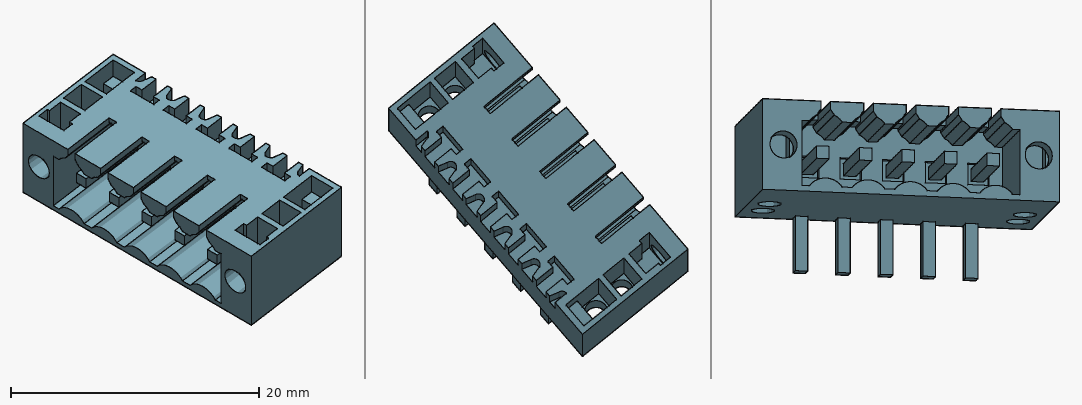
import cadquery as cq


length = 24.4
depth = 11.05
height = 7.47

contact_count = 5
contact_span = 14.0
pitch = contact_span / (contact_count - 1)
contact_xs = [(i - (contact_count - 1) / 2) * pitch for i in range(contact_count)]
contact_size = 1.02
contact_z = 3.51
contact_front_gap = 1.2
contact_rear_gap = 0.35
leg_length = 4.5

cavity_half_width = 8.95
cavity_floor = 0.46
cavity_ceiling = height - 1.65
cavity_depth = 7.08
arch_half_width = 1.35
arch_height = 0.68

slot_half_width = 0.4
slot_depth = 5.05
flare_top = height - 0.5
flare_shoulder = height - 0.65
flare_bottom = height - 1.1
flare_half_width = 0.68

recess_size = 1.75
recess_depth = 0.5

rear_slot_depth = 1.95
stem_width = 1.22
stem_length = 1.73
bar_width = 2.5
bar_length = 0.68
notch_half_mouth = 0.68
notch_half_root = 0.46
notch_root_start = 0.78
notch_length = 1.2
notch_count = contact_count + 1
notch_limit = contact_count * pitch / 2

screw_x = 10.5
screw_diameter = 1.85
pocket_inner_x = 9.47
pocket_outer_x = 11.74
pocket_depth = 5.12
rear_pocket_back = depth - 0.54
rear_pocket_step = depth - 1.73
rear_pocket_front = depth - 3.98
ledge_depth = 1.75
middle_pocket_back = depth - 4.45
middle_pocket_front = depth - 6.61
screw_ys = [depth - 2.85, depth - 5.55]

nut_back = depth - 7.15
nut_step = depth - 8.5
nut_front = depth - 9.55
nut_outer_x = 11.6
nut_head_inner_x = 9.15
nut_head_outer_x = 11.8
bolt_diameter = 2.22
bolt_z = 3.75


def box(x_range, y_range, z_range):
    """Axis-aligned box between two limits on each axis."""
    sizes = [high - low for low, high in (x_range, y_range, z_range)]
    corner = (x_range[0], y_range[0], z_range[0])
    return cq.Workplane("XY").box(*sizes, centered=False).translate(corner)


def mirrored_pair(shape):
    """The shape and its mirror image at the other end of the housing."""
    return shape.union(shape.mirror("YZ"))


def extrude_back(front_outline, distance):
    """Extrude an outline drawn on the front face toward the rear."""
    return front_outline.close().extrude(-distance)


def arch(x, base_z):
    """Circular segment rising from base_z, running the length of the cavity."""
    outline = (
        cq.Workplane("XZ")
        .moveTo(x - arch_half_width, base_z)
        .threePointArc((x, base_z + arch_height), (x + arch_half_width, base_z))
    )
    return extrude_back(outline, cavity_depth)


def coding_flare(x):
    """Flared channel that joins a coding slot to the arched cavity ceiling."""
    outline = cq.Workplane("XZ").polyline([
        (x - slot_half_width, flare_top),
        (x + slot_half_width, flare_top),
        (x + slot_half_width, flare_shoulder),
        (x + flare_half_width, flare_bottom),
        (x + flare_half_width, cavity_ceiling),
        (x - flare_half_width, cavity_ceiling),
        (x - flare_half_width, flare_bottom),
        (x - slot_half_width, flare_shoulder),
    ])
    return extrude_back(outline, cavity_depth)


def plug_cavity():
    """Front opening with ribs on its floor and grooves and slots in its ceiling."""
    cavity = box(
        (-cavity_half_width, cavity_half_width), (0, cavity_depth), (cavity_floor, cavity_ceiling)
    )
    recess_half = recess_size / 2
    for x in contact_xs:
        coding_slot = box(
            (x - slot_half_width, x + slot_half_width), (0, slot_depth), (cavity_ceiling, height)
        )
        contact_recess = box(
            (x - recess_half, x + recess_half),
            (cavity_depth, cavity_depth + recess_depth),
            (contact_z - recess_half, contact_z + recess_half),
        )
        cavity = cavity.cut(arch(x, cavity_floor))
        cavity = cavity.union(arch(x, cavity_ceiling)).union(coding_flare(x))
        cavity = cavity.union(coding_slot).union(contact_recess)
    return cavity


def t_slot(x):
    """T-shaped slot, open at the rear face."""
    z_range = (height - rear_slot_depth, height)
    bar_back = depth - stem_length
    stem = box((x - stem_width / 2, x + stem_width / 2), (bar_back, depth), z_range)
    bar = box((x - bar_width / 2, x + bar_width / 2), (bar_back - bar_length, bar_back), z_range)
    return stem.union(bar)


def rear_notch(x):
    """Notch open at the rear face, narrowing to a rounded root."""
    root_y = depth - notch_root_start
    return (
        cq.Workplane("XY", origin=(x, 0, height - rear_slot_depth))
        .moveTo(-notch_half_mouth, depth)
        .lineTo(-notch_half_root, root_y)
        .threePointArc((0, depth - notch_length), (notch_half_root, root_y))
        .lineTo(notch_half_mouth, depth)
        .close()
        .extrude(rear_slot_depth)
    )


def rear_openings():
    """T slots with notches between them; the end notches keep only their inner half."""
    openings = rear_notch(-notch_limit)
    for i in range(1, notch_count):
        openings = openings.union(rear_notch(i * pitch - notch_limit))
    openings = openings.intersect(box((-notch_limit, notch_limit), (0, depth), (0, height)))
    for x in contact_xs:
        openings = openings.union(t_slot(x))
    return openings


def flange_pockets():
    """Two screw pockets and a nut pocket, at the +X end."""
    x_range = (pocket_inner_x, pocket_outer_x)
    deep = (height - pocket_depth, height)
    ledge = box(x_range, (rear_pocket_step, rear_pocket_back), (height - ledge_depth, height))
    rear = box(x_range, (rear_pocket_front, rear_pocket_step), deep)
    middle = box(x_range, (middle_pocket_front, middle_pocket_back), deep)
    nut = box((pocket_inner_x, nut_outer_x), (nut_step, nut_back), deep)
    nut_head = box((nut_head_inner_x, nut_head_outer_x), (nut_front, nut_step), deep)
    return ledge.union(rear).union(middle).union(nut).union(nut_head)


def flange_holes():
    """Vertical screw holes and the bolt hole from the front, at the +X end."""
    screws = (
        cq.Workplane("XY")
        .pushPoints([(screw_x, y) for y in screw_ys])
        .circle(screw_diameter / 2)
        .extrude(height)
    )
    bolt = (
        cq.Workplane("XZ")
        .center(screw_x, bolt_z)
        .circle(bolt_diameter / 2)
        .extrude(-nut_step)
    )
    return screws.union(bolt)


def make_contact(x):
    """Right-angle contact: a square blade with a leg down through the housing."""
    half = contact_size / 2
    x_range = (x - half, x + half)
    rear = depth - contact_rear_gap
    top = contact_z + half
    blade = box(x_range, (contact_front_gap, rear), (contact_z - half, top))
    leg = box(x_range, (rear - contact_size, rear), (-leg_length, top))
    return blade.union(leg)


def make_housing(contacts):
    """Housing block with all its openings and a matching hole for every contact."""
    housing = box((-length / 2, length / 2), (0, depth), (0, height))
    housing = housing.cut(plug_cavity()).cut(rear_openings())
    housing = housing.cut(mirrored_pair(flange_pockets())).cut(mirrored_pair(flange_holes()))
    for contact in contacts:
        housing = housing.cut(contact)
    return housing


contacts = [make_contact(x) for x in contact_xs]
housing = make_housing(contacts)
result = cq.Compound.makeCompound([housing.val(), *[contact.val() for contact in contacts]])